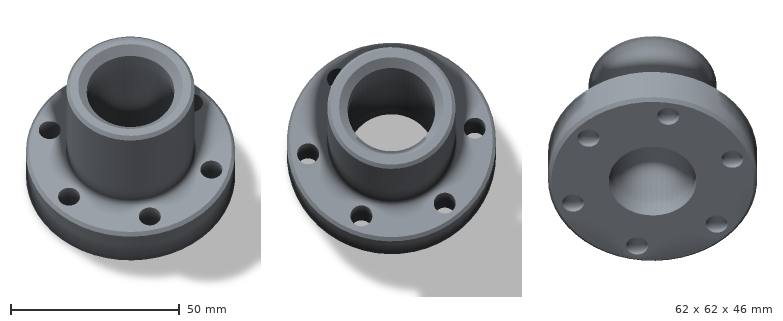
import cadquery as cq

flange_diameter = 62.0
flange_thickness = 14.0

hub_diameter = 38.0
total_height = 46.0

edge_chamfer = 1.0
root_fillet_radius = 1.0

bore_diameter = 26.0
bore_mouth_chamfer = 2.5

bolt_hole_count = 6
bolt_hole_diameter = 6.5
bolt_circle_diameter = 50.0
first_bolt_angle = 90.0


def make_flange():
    """Disc on the XY plane, chamfered on both rims."""
    disc = cq.Workplane("XY").circle(flange_diameter / 2).extrude(flange_thickness)
    return disc.faces("<Z or >Z").edges().chamfer(edge_chamfer)


def make_hub():
    """Cylinder from the flange base to full height, chamfered at its top rim."""
    cylinder = cq.Workplane("XY").circle(hub_diameter / 2).extrude(total_height)
    return cylinder.faces(">Z").edges().chamfer(edge_chamfer)


def fillet_hub_root(body):
    """Round the inside corner where the hub meets the top of the flange."""
    root_edge = cq.selectors.RadiusNthSelector(0)
    flange_top = cq.selectors.NearestToPointSelector((0, 0, flange_thickness))
    return body.faces("|Z").faces(flange_top).edges(root_edge).fillet(root_fillet_radius)


def cut_bore(body):
    """Through bore with a conical mouth at the hub end."""
    bored = body.faces(">Z").workplane().hole(bore_diameter)
    mouth_edge = cq.selectors.RadiusNthSelector(0)
    return bored.faces(">Z").edges(mouth_edge).chamfer(bore_mouth_chamfer)


def cut_bolt_holes(body):
    """Evenly spaced through holes around the flange."""
    holes = (
        cq.Workplane("XY")
        .polarArray(bolt_circle_diameter / 2, first_bolt_angle, 360, bolt_hole_count)
        .circle(bolt_hole_diameter / 2)
        .extrude(flange_thickness)
    )
    return body.cut(holes)


blank = fillet_hub_root(make_flange().union(make_hub()))
result = cut_bolt_holes(cut_bore(blank))